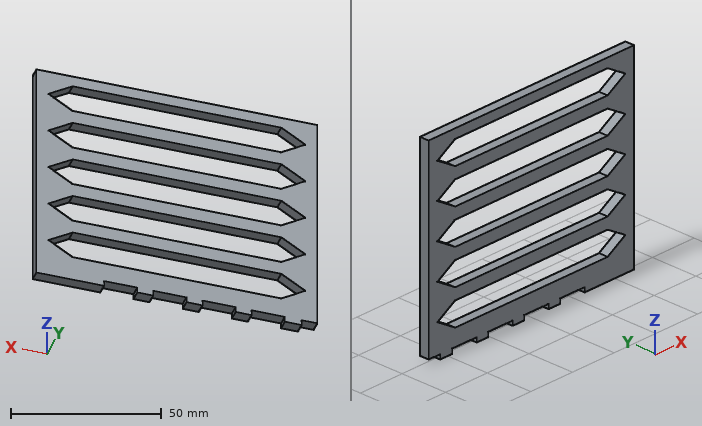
import cadquery as cq

width = 98.5
thickness = 4.0
height = 83.2

slot_count = 5
slot_length = 90.0
slot_height = 10.0
slot_tip_length = 8.5
slot_pitch = 15.0
lowest_slot_z = 14.3

notch_depth = 2.0
corner_notch_width = 5.5
notch_width = 11.6
notch_pitch = 17.2
first_notch_x = 11.4
notch_count = 4


def make_plate():
    return cq.Workplane("XY").box(width, thickness, height, centered=False)


def make_slot(center_z):
    """Pointed slot cutter through the full thickness, centred in the width."""
    tip_x = slot_length / 2
    shoulder_x = tip_x - slot_tip_length
    half_height = slot_height / 2
    outline = [
        (-tip_x, 0),
        (-shoulder_x, half_height),
        (shoulder_x, half_height),
        (tip_x, 0),
        (shoulder_x, -half_height),
        (-shoulder_x, -half_height),
    ]
    return (
        cq.Workplane("XZ", origin=(width / 2, thickness, center_z))
        .polyline(outline)
        .close()
        .extrude(thickness)
    )


def make_notch(start_x, length):
    """Bottom-edge notch cutter running toward +X from start_x."""
    return (
        cq.Workplane("XY", origin=(start_x, 0, 0))
        .box(length, thickness, notch_depth, centered=False)
    )


result = make_plate()

for i in range(slot_count):
    result = result.cut(make_slot(lowest_slot_z + i * slot_pitch))

result = result.cut(make_notch(0, corner_notch_width))
for i in range(notch_count):
    result = result.cut(make_notch(first_notch_x + i * notch_pitch, notch_width))